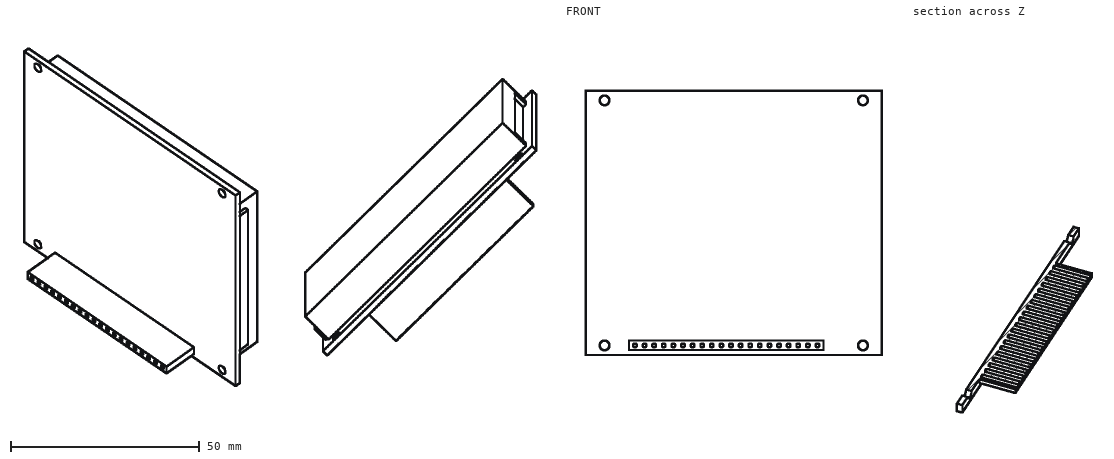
import cadquery as cq

BOARD_WIDTH = 78.4
BOARD_HEIGHT = 70.0
BOARD_THICKNESS = 1.65

MOUNT_DIAMETER = 2.5
MOUNT_INSET_X = 5.0
MOUNT_INSET_Z = 2.6

HOUSING_SIDE_MARGIN = 2.2
HOUSING_WIDTH = BOARD_WIDTH - 2 * HOUSING_SIDE_MARGIN
HOUSING_DEPTH = 8.8
HOUSING_HEIGHT = 55.3
HOUSING_BOTTOM = 7.6

INSERT_SHIFT = 1.1
INSERT_DEPTH = 4.2
INSERT_HEIGHT = 49.3
INSERT_BOTTOM = HOUSING_BOTTOM + (HOUSING_HEIGHT - INSERT_HEIGHT) / 2

SOCKET_LEFT = 11.45
SOCKET_WIDTH = 51.5
SOCKET_HEIGHT = 2.5
SOCKET_DEPTH = 10.35
PIN_COUNT = 20
PIN_SPAN = 48.3
PIN_PITCH = PIN_SPAN / (PIN_COUNT - 1)
PIN_DIAMETER = 1.0


def block(x, y, z, width, depth, height):
    """Box with its lowest corner at (x, y, z)."""
    return cq.Workplane("XY").box(width, depth, height, centered=False).translate((x, y, z))


def drill_y(points, diameter, y_start, depth):
    """Round cutters at (x, z) points, running from y_start toward +Y."""
    plane = cq.Workplane("XZ", origin=(0, y_start, 0))
    return plane.pushPoints(points).circle(diameter / 2).extrude(-depth)


def make_board():
    board = block(0, 0, 0, BOARD_WIDTH, BOARD_THICKNESS, BOARD_HEIGHT)
    corners = [
        (x, z)
        for x in (MOUNT_INSET_X, BOARD_WIDTH - MOUNT_INSET_X)
        for z in (MOUNT_INSET_Z, BOARD_HEIGHT - MOUNT_INSET_Z)
    ]
    return board.cut(drill_y(corners, MOUNT_DIAMETER, 0, BOARD_THICKNESS))


def make_housing():
    left = HOUSING_SIDE_MARGIN
    right = left + HOUSING_WIDTH
    back = BOARD_THICKNESS
    housing = block(left, back, HOUSING_BOTTOM, HOUSING_WIDTH, HOUSING_DEPTH, HOUSING_HEIGHT)
    recess = block(left, back, INSERT_BOTTOM, INSERT_SHIFT, INSERT_DEPTH, INSERT_HEIGHT)
    ledge = block(right, back, INSERT_BOTTOM, INSERT_SHIFT, INSERT_DEPTH, INSERT_HEIGHT)
    return housing.cut(recess).union(ledge)


def make_socket():
    bottom = MOUNT_INSET_Z - SOCKET_HEIGHT / 2
    socket = block(SOCKET_LEFT, -SOCKET_DEPTH, bottom, SOCKET_WIDTH, SOCKET_DEPTH, SOCKET_HEIGHT)
    first_x = SOCKET_LEFT + (SOCKET_WIDTH - PIN_SPAN) / 2
    pins = [(first_x + i * PIN_PITCH, MOUNT_INSET_Z) for i in range(PIN_COUNT)]
    return socket.cut(drill_y(pins, PIN_DIAMETER, -SOCKET_DEPTH, SOCKET_DEPTH))


result = make_board().union(make_housing()).union(make_socket())